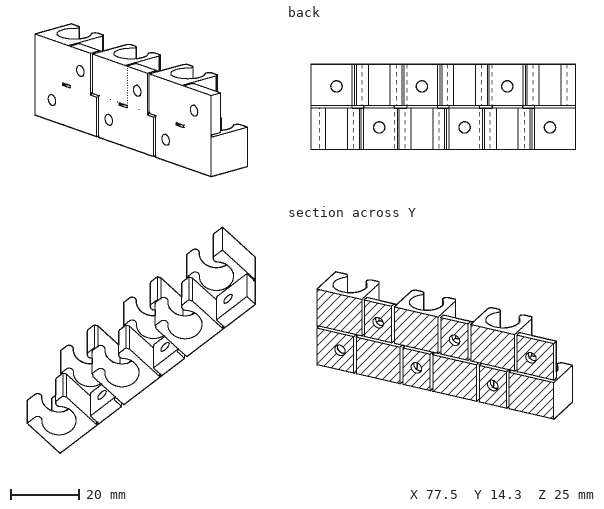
import cadquery as cq
import math


LENGTH = 77.5
DEPTH = 14.3
HEIGHT = 25.0
MODULES = 3

ROW_GAP = 0.7
ROW_HEIGHT = (HEIGHT - ROW_GAP) / 2
PLATE_THICKNESS = 3.7
FOLD_THICKNESS = 0.4
END_MARGIN = 7.5
CLIP_SPACING = (LENGTH - 2 * END_MARGIN) / (2 * MODULES - 1)
MODULE_PITCH = 2 * CLIP_SPACING

CLIP_HALF_WIDTH = 7.2
BORE_DIAMETER = 10.0
BORE_RADIUS = BORE_DIAMETER / 2
BORE_Y = PLATE_THICKNESS + BORE_RADIUS
LIP_ANGLE = 45.0
CORNER_CHAMFER_X = 0.55
CORNER_CHAMFER_Y = 1.0

SLOT_WIDTH = 0.7
GROOVE_WIDTH = 0.85
GROOVE_WEB = 0.2
SCREW_DIAMETER = 3.25
SCREW_INSET = 6.5

LEFT = -LENGTH / 2
RIGHT = LENGTH / 2
ROW_BOTTOM = ROW_GAP / 2
CLIP_CENTERS = [LEFT + END_MARGIN + i * MODULE_PITCH for i in range(MODULES)]


def box(x_min, x_max, y_min, y_max, z_min, z_max):
    size = (x_max - x_min, y_max - y_min, z_max - z_min)
    return cq.Workplane("XY").box(*size, centered=False).translate((x_min, y_min, z_min))


def row_prism(outline):
    """Extrude a closed XY outline over the height of the upper row."""
    return outline.extrude(ROW_HEIGHT).translate((0, 0, ROW_BOTTOM))


def clip_block(center, at_end):
    """Block of one clip; a clip at the end of the strip runs out square to it."""
    right = center + CLIP_HALF_WIDTH
    left = LEFT if at_end else center - CLIP_HALF_WIDTH
    shoulder = DEPTH - CORNER_CHAMFER_Y
    outline = cq.Workplane("XY").moveTo(left, 0).lineTo(right, 0)
    outline = outline.lineTo(right, shoulder).lineTo(right - CORNER_CHAMFER_X, DEPTH)
    if at_end:
        outline = outline.lineTo(left, DEPTH)
    else:
        outline = outline.lineTo(left + CORNER_CHAMFER_X, DEPTH).lineTo(left, shoulder)
    return row_prism(outline.close())


def clip_bore(center):
    """Round bore with a mouth at the back between two rounded lips.

    Each lip is an arc tangent to the bore at LIP_ANGLE and to the back face.
    """
    across = math.cos(math.radians(LIP_ANGLE))
    back = math.sin(math.radians(LIP_ANGLE))
    join_x = BORE_RADIUS * across
    join_y = BORE_Y + BORE_RADIUS * back
    lip_radius = (DEPTH - join_y) / (1 + back)
    lip_x = join_x + lip_radius * across
    lip_y = DEPTH - lip_radius
    tip_x = lip_x - lip_radius
    outline = (
        cq.Workplane("XY")
        .moveTo(center + join_x, join_y)
        .threePointArc((center + tip_x, lip_y), (center + lip_x, DEPTH))
        .lineTo(center - lip_x, DEPTH)
        .threePointArc((center - tip_x, lip_y), (center - join_x, join_y))
        .threePointArc((center, BORE_Y - BORE_RADIUS), (center + join_x, join_y))
        .close()
    )
    return row_prism(outline)


def module_groove(right):
    """Round-bottomed groove in the front of the plate, beside the next clip."""
    left = right - GROOVE_WIDTH
    bottom = PLATE_THICKNESS - GROOVE_WEB
    spring = bottom - GROOVE_WIDTH / 2
    outline = (
        cq.Workplane("XY")
        .moveTo(left, 0)
        .lineTo(right, 0)
        .lineTo(right, spring)
        .threePointArc((right - GROOVE_WIDTH / 2, bottom), (left, spring))
        .close()
    )
    return row_prism(outline)


def upper_row():
    """Plate and clips of the upper row, with its slots, grooves and screw holes."""
    row_top = ROW_BOTTOM + ROW_HEIGHT
    row = box(LEFT, RIGHT, 0, PLATE_THICKNESS, ROW_BOTTOM, row_top)
    for i, center in enumerate(CLIP_CENTERS):
        is_first = i == 0
        row = row.union(clip_block(center, is_first)).cut(clip_bore(center))

        slot_left = center + CLIP_HALF_WIDTH
        slot_right = slot_left + SLOT_WIDTH
        row = row.cut(box(slot_left, slot_right, FOLD_THICKNESS, DEPTH, ROW_BOTTOM, row_top))

        if not is_first:
            row = row.cut(module_groove(center - CLIP_HALF_WIDTH))

        screw_hole = (
            cq.Workplane("XZ", origin=(center + CLIP_SPACING, 0, row_top - SCREW_INSET))
            .circle(SCREW_DIAMETER / 2)
            .extrude(-PLATE_THICKNESS)
        )
        row = row.cut(screw_hole)
    return row


def fold_web():
    """Thin web joining the rows, opened where the slots and grooves meet it."""
    web = box(LEFT, RIGHT, 0, FOLD_THICKNESS, -ROW_BOTTOM, ROW_BOTTOM)
    overhang = CLIP_HALF_WIDTH - CLIP_SPACING / 2
    slot_reach = overhang + SLOT_WIDTH
    groove_reach = overhang + GROOVE_WIDTH
    slot_openings = [(center + CLIP_SPACING / 2, slot_reach) for center in CLIP_CENTERS]
    groove_openings = [(center - CLIP_SPACING / 2, groove_reach) for center in CLIP_CENTERS[1:]]
    for x, reach in slot_openings + groove_openings:
        web = web.cut(box(x - reach, x + reach, 0, FOLD_THICKNESS, -ROW_BOTTOM, ROW_BOTTOM))
    return web


upper = upper_row()
lower = upper.rotate((0, 0, 0), (0, 1, 0), 180)
result = upper.union(fold_web()).union(lower)